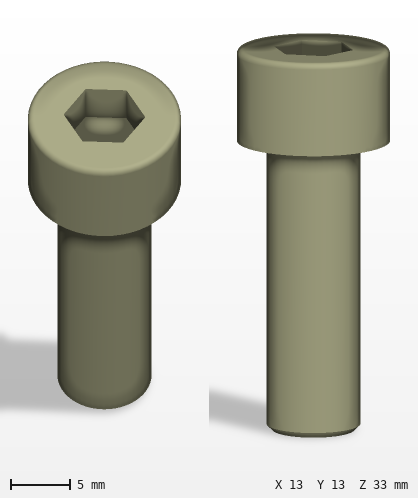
import cadquery as cq
import math

thread_diameter = 8.0
shank_length = 25.0
head_diameter = 13.0
head_height = thread_diameter
head_edge_radius = 0.5
tip_chamfer = 0.5
socket_sides = 6
socket_across_flats = 6.0
socket_depth = 3.5


def make_head():
    """Cylindrical head with a rounded top rim."""
    head = cq.Workplane("XY").circle(head_diameter / 2).extrude(head_height)
    return head.faces(">Z").edges().fillet(head_edge_radius)


def make_shank():
    """Plain shank below the head, chamfered at the tip."""
    shank = cq.Workplane("XY").circle(thread_diameter / 2).extrude(-shank_length)
    return shank.faces("<Z").edges().chamfer(tip_chamfer)


def make_socket():
    """Hexagonal key socket with two corners on the X axis."""
    across_corners = socket_across_flats / math.cos(math.pi / socket_sides)
    socket = cq.Workplane("XY").workplane(offset=head_height)
    return socket.polygon(socket_sides, across_corners).extrude(-socket_depth)


result = make_head().union(make_shank()).cut(make_socket())